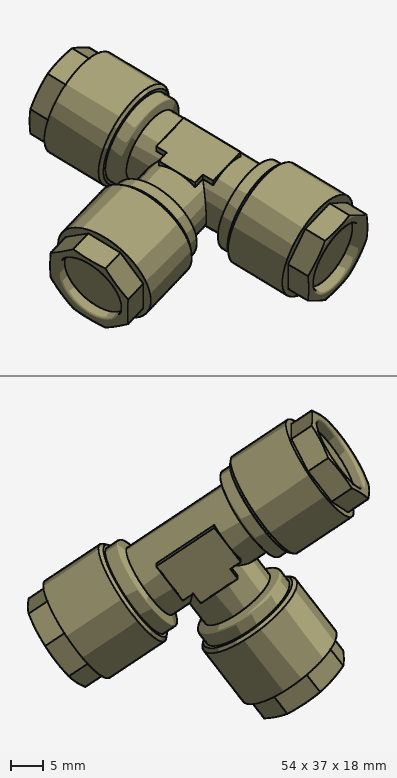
import cadquery as cq
import math

overall_length = 54.0
overall_width = 37.0
sleeve_diameter = 18.0
sleeve_radius = sleeve_diameter / 2
pipe_diameter = 12.5
pipe_radius = pipe_diameter / 2
run_half_length = overall_length / 2
branch_length = overall_width - sleeve_radius

nut_sides = 8
nut_length = 4.0
nut_across_flats = 15.0
nut_face_radius = nut_across_flats / 2
nut_corner_angle = 15.0

sleeve_length = 11.0
sleeve_chamfer = 0.55

collar_length = 2.75
collar_radius = 7.95
collar_cone_angle = 15.0
collar_rounding = 0.45
right_collar_rounding = 0.15

recess_radius = 6.05
recess_mouth_rounding = 0.55
recess_depth = 1.85

block_run_length = 11.0
block_width = 7.0
block_branch_reach = 5.5
block_height = 12.65


def nut():
    """Octagonal nut with its open face at z = 0, reaching down, corners turned off."""
    across_corners = nut_across_flats / math.cos(math.pi / nut_sides)
    octagon = (
        cq.Workplane("XY")
        .polygon(nut_sides, across_corners)
        .extrude(-nut_length)
        .rotate((0, 0, 0), (0, 0, 1), 180 / nut_sides)
    )
    spread = nut_length / math.tan(math.radians(nut_corner_angle))
    cone_profile = [
        (0, 0),
        (nut_face_radius, 0),
        (nut_face_radius + spread, -nut_length),
        (0, -nut_length),
    ]
    envelope = (
        cq.Workplane("XZ")
        .polyline(cone_profile)
        .close()
        .revolve(360, (0, 0, 0), (0, 1, 0))
    )
    return octagon.intersect(envelope)


def turned_body(length, rounding):
    """Sleeve, collar and pipe as one turned solid, from the nut down to the tee centre."""
    sleeve_front = -nut_length
    sleeve_back = sleeve_front - sleeve_length
    collar_back = sleeve_back - collar_length
    slope = math.radians(collar_cone_angle)
    cone_corner = collar_back + (collar_radius - pipe_radius) * math.tan(slope)
    tangent_length = rounding * math.tan((math.pi / 2 - slope) / 2)
    rounding_start = (collar_radius, cone_corner + tangent_length)
    rounding_end = (
        collar_radius - tangent_length * math.cos(slope),
        cone_corner - tangent_length * math.sin(slope),
    )
    return (
        cq.Workplane("XZ")
        .moveTo(0, sleeve_front)
        .lineTo(sleeve_radius, sleeve_front)
        .lineTo(sleeve_radius, sleeve_back + sleeve_chamfer)
        .lineTo(sleeve_radius - sleeve_chamfer, sleeve_back)
        .lineTo(collar_radius, sleeve_back)
        .lineTo(*rounding_start)
        .radiusArc(rounding_end, rounding)
        .lineTo(pipe_radius, collar_back)
        .lineTo(pipe_radius, -length)
        .lineTo(0, -length)
        .close()
        .revolve(360, (0, 0, 0), (0, 1, 0))
    )


def recess():
    """Round blind recess with a rounded mouth, its open face at z = 0."""
    mouth_radius = recess_radius + recess_mouth_rounding
    return (
        cq.Workplane("XZ")
        .lineTo(mouth_radius, 0)
        .radiusArc((recess_radius, -recess_mouth_rounding), -recess_mouth_rounding)
        .lineTo(recess_radius, -recess_depth)
        .lineTo(0, -recess_depth)
        .close()
        .revolve(360, (0, 0, 0), (0, 1, 0))
    )


def arm(length, direction, rounding):
    """One arm of the tee, running from the tee centre along a direction in the XY plane."""
    return (
        turned_body(length, rounding)
        .union(nut())
        .cut(recess())
        .translate((0, 0, length))
        .rotate((0, 0, 0), (0, 1, 0), 90)
        .rotate((0, 0, 0), (0, 0, 1), direction)
    )


def junction_block():
    """T-shaped block that squares off the pipe junction above and below."""
    run_bar = cq.Workplane("XY").box(block_run_length, block_width, block_height)
    branch_bar = (
        cq.Workplane("XY")
        .box(block_width, block_branch_reach, block_height)
        .translate((0, -block_branch_reach / 2, 0))
    )
    return run_bar.union(branch_bar)


right_arm = arm(run_half_length, 0, right_collar_rounding)
left_arm = arm(run_half_length, 180, collar_rounding)
branch_arm = arm(branch_length, -90, collar_rounding)

result = right_arm.union(left_arm).union(branch_arm).union(junction_block())